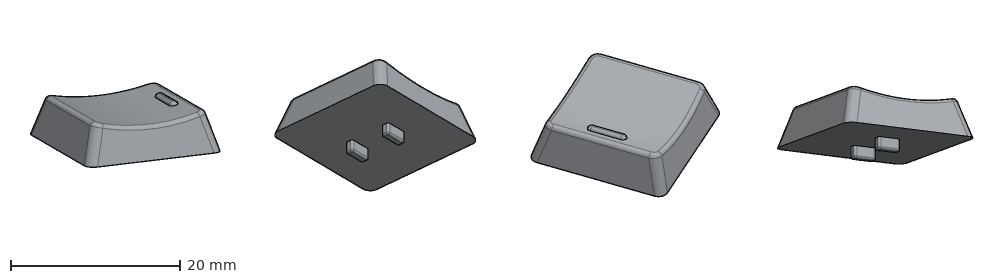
import cadquery as cq
import math

base_side = 17.5
draft_angle = 16.5
corner_radius = 1.22
rim_radius = 0.61
blank_height = 5.6

dish_floor = 4.0
dish_radius = 26.95

bar_length = 5.0
bar_width = 1.1
bar_y = 5.37
bar_height = 0.4
bar_edge_radius = 0.45
bar_root = 0.52
bar_tilt = math.asin(bar_y / dish_radius)
bar_base_z = dish_floor + dish_radius * (1 - math.cos(bar_tilt))

leg_width = 1.1
leg_depth = 2.98
leg_length = 1.5
leg_spacing = 5.7
leg_edge_radius = 0.3
leg_foot_radius = 0.28
leg_root = 0.35


def make_cap():
    """Drafted square block with round corners, a dished top and a rounded rim."""
    block = cq.Workplane("XY").rect(base_side, base_side).extrude(blank_height, taper=draft_angle)
    block = block.edges("not(#Z)").fillet(corner_radius)
    dish = (
        cq.Workplane("YZ")
        .center(0, dish_floor + dish_radius)
        .circle(dish_radius)
        .extrude(base_side / 2, both=True)
    )
    return block.cut(dish).faces(">Z").edges().fillet(rim_radius)


def make_bar():
    """Bar with round ends and a rounded crown, standing square to the dish surface."""
    dish_normal = (0, -math.sin(bar_tilt), math.cos(bar_tilt))
    seat = cq.Plane(origin=(0, bar_y, bar_base_z), xDir=(1, 0, 0), normal=dish_normal)
    return (
        cq.Workplane(seat)
        .workplane(offset=-bar_root)
        .slot2D(bar_length, bar_width)
        .extrude(bar_root + bar_height)
        .faces(cq.selectors.DirectionMinMaxSelector(cq.Vector(*dish_normal)))
        .edges()
        .fillet(bar_edge_radius)
    )


def make_leg(x):
    """Rectangular leg with rounded upright edges and a rounded foot."""
    return (
        cq.Workplane("XY", origin=(x, 0, leg_root))
        .rect(leg_width, leg_depth)
        .extrude(-(leg_length + leg_root))
        .edges("|Z").fillet(leg_edge_radius)
        .faces("<Z").edges().fillet(leg_foot_radius)
    )


result = make_cap().union(make_bar())
for side in (-1, 1):
    result = result.union(make_leg(side * leg_spacing / 2))